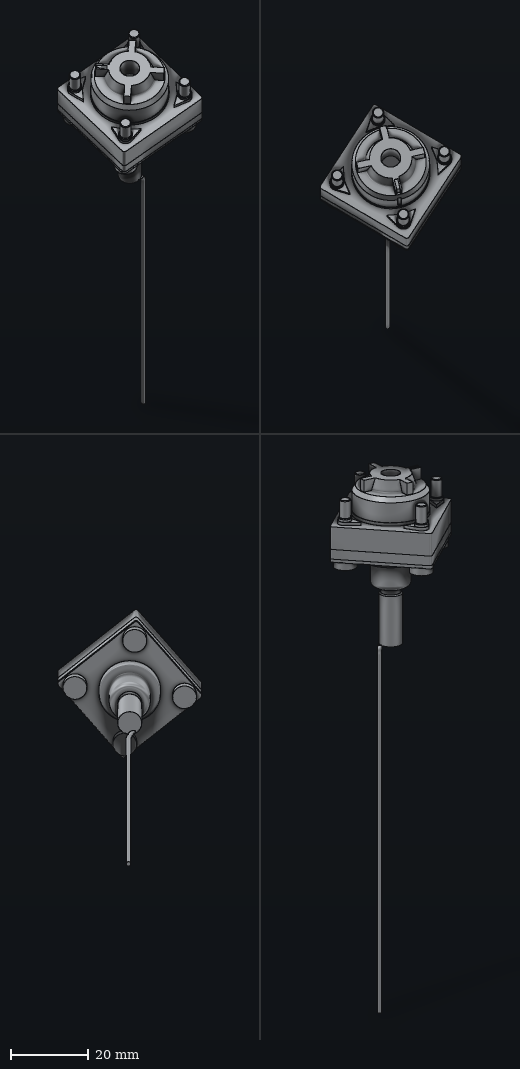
import cadquery as cq
import math

total_length = 148.5

side = 27.0
corner_radius = 0.7
housing_thickness = 6.2
plate_thickness = 2.7
cover_thickness = 0.9
housing_bottom = -housing_thickness
plate_bottom = housing_bottom - plate_thickness
cover_bottom = plate_bottom - cover_thickness

turret_radius = 10.1
turret_height = 7.7
turret_bevel_width = 0.9
turret_bevel_height = 1.3
base_ring_radius = 10.2
base_ring_height = 0.9

hub_top = 11.0
hub_top_radius = 5.5
hub_base_radius = 6.5
hub_base_fillet = 0.5
bore_radius = 2.5
bore_depth = 6.0
rib_width = 1.8
rib_reach = 8.9

groove_width = 0.9
groove_depth = 0.3
groove_start = 6.0
groove_bottom = 1.8
groove_angle = 225

screw_offset = 10.1
screw_radius = 1.5
screw_tip_height = 6.7
screw_tip_chamfer = 0.22
head_radius = 3.1
head_height = 2.2
pad_radius = 2.0
pad_height = 0.9
wing_tip_near = 5.6
wing_tip_far = 11.0
collar_radius = 1.8
collar_height = 1.8
collar_chamfer = 0.22

flange_radius = 8.0
flange_height = 2.7
flange_fillet = 0.5
gland_radius = 5.3
gland_root_fillet = 0.5
gland_end_fillet = 1.3
gland_height = 7.5
neck_top_radius = 3.1
neck_bottom_radius = 2.7
neck_height = 1.8
flange_bottom = cover_bottom - flange_height
gland_bottom = flange_bottom - gland_height
neck_bottom = gland_bottom - neck_height

sleeve_gap = 0.3
sleeve_radius = 3.1
sleeve_length = 14.0
sleeve_top = neck_bottom - sleeve_gap
sleeve_bottom = sleeve_top - sleeve_length

cable_radius = 0.62
cable_offset = sleeve_radius - cable_radius
bend_radius = 3.0
bend_drop = 2.2
cable_bottom = hub_top - total_length
bend_bottom = sleeve_bottom - bend_drop

screw_places = [(sx * screw_offset, sy * screw_offset) for sx in (-1, 1) for sy in (-1, 1)]
quarter_turns = [0, 90, 180, 270]


def cylinder(radius, bottom, top):
    """Cylinder on the vertical axis between two heights."""
    return cq.Workplane("XY").workplane(offset=bottom).circle(radius).extrude(top - bottom)


def cut_screw_holes(body):
    """Cut the four holes that the screw shanks fill."""
    holes = (
        cq.Workplane("XY").workplane(offset=cover_bottom).pushPoints(screw_places)
        .circle(screw_radius).extrude(screw_tip_height - cover_bottom)
    )
    return body.cut(holes)


def square_slab(bottom, top):
    """Square slab with rounded upright corners."""
    return (
        cq.Workplane("XY").workplane(offset=bottom).rect(side, side).extrude(top - bottom)
        .edges("|Z").fillet(corner_radius)
    )


def make_turret():
    """Round turret with a steep bevel at the top and a low ring around its foot."""
    turret = (
        cylinder(turret_radius, 0, turret_height)
        .faces(">Z").chamfer(turret_bevel_height, turret_bevel_width)
    )
    return turret.union(cylinder(base_ring_radius, 0, base_ring_height))


def make_hub():
    """Cone with a small rounded foot, turned about the vertical axis."""
    foot_top = turret_height + hub_base_fillet
    return (
        cq.Workplane("XZ")
        .moveTo(0, turret_height)
        .lineTo(hub_base_radius + hub_base_fillet, turret_height)
        .radiusArc((hub_base_radius, foot_top), hub_base_fillet)
        .lineTo(hub_top_radius, hub_top)
        .lineTo(0, hub_top)
        .close()
        .revolve(360, (0, 0), (0, 1))
    )


def make_ribs():
    """Two crossed bars that stand out from the hub as four diagonal ribs."""
    bar = (
        cq.Workplane("XY").workplane(offset=turret_height)
        .rect(2 * rib_reach, rib_width).extrude(hub_top - turret_height)
    )
    axis_start, axis_end = (0, 0, 0), (0, 0, 1)
    return bar.rotate(axis_start, axis_end, 45).union(bar.rotate(axis_start, axis_end, 135))


def groove_segment(inner, outer, bottom, top):
    """Upright groove segment, one groove wide, between two radii along +X."""
    return (
        cq.Workplane("XY").workplane(offset=bottom)
        .center((inner + outer) / 2, 0).rect(outer - inner, groove_width).extrude(top - bottom)
    )


def make_groove_cutter():
    """Shallow groove along a rib's top, down its end and down the turret wall."""
    rib_top = groove_segment(groove_start, rib_reach, hub_top - groove_depth, hub_top)
    rib_end = groove_segment(rib_reach - groove_depth, rib_reach, turret_height, hub_top)
    wall = groove_segment(turret_radius - groove_depth, turret_radius, groove_bottom, turret_height)
    return rib_top.union(rib_end).union(wall).rotate((0, 0, 0), (0, 0, 1), groove_angle)


def wing(tip_x, tip_y):
    """Pad wing: a triangle from a tip to the two points where lines from it touch the pad circle."""
    to_tip = math.atan2(tip_y - screw_offset, tip_x - screw_offset)
    distance = math.hypot(tip_x - screw_offset, tip_y - screw_offset)
    swing = math.acos(pad_radius / distance)
    touch_points = [
        (screw_offset + pad_radius * math.cos(angle), screw_offset + pad_radius * math.sin(angle))
        for angle in (to_tip - swing, to_tip + swing)
    ]
    return cq.Workplane("XY").polyline([(tip_x, tip_y), *touch_points]).close().extrude(pad_height)


def make_screw_pad():
    """Raised pad with two wings and a chamfered collar, in the +X +Y corner."""
    pad = cq.Workplane("XY").center(screw_offset, screw_offset).circle(pad_radius).extrude(pad_height)
    collar = (
        cq.Workplane("XY").center(screw_offset, screw_offset).circle(collar_radius).extrude(collar_height)
        .faces(">Z").edges().chamfer(collar_chamfer)
    )
    wings = wing(wing_tip_near, wing_tip_far).union(wing(wing_tip_far, wing_tip_near))
    return pad.union(wings).union(collar)


def make_housing():
    """Square block with the turret, hub, ribs and screw pads on top."""
    body = square_slab(housing_bottom, 0)
    body = body.union(make_turret()).union(make_hub()).union(make_ribs())
    body = body.cut(cylinder(bore_radius, hub_top - bore_depth, hub_top))
    body = body.cut(make_groove_cutter())
    pad = make_screw_pad()
    for angle in quarter_turns:
        body = body.union(pad.rotate((0, 0, 0), (0, 0, 1), angle))
    return cut_screw_holes(body)


def make_plate():
    """Middle plate, clamped between the housing and the end cover."""
    return cut_screw_holes(square_slab(plate_bottom, housing_bottom))


def make_gland():
    """Flange, gland barrel and tapered neck, turned about the vertical axis."""
    return (
        cq.Workplane("XZ")
        .moveTo(0, cover_bottom)
        .lineTo(flange_radius, cover_bottom)
        .lineTo(flange_radius, flange_bottom + flange_fillet)
        .radiusArc((flange_radius - flange_fillet, flange_bottom), flange_fillet)
        .lineTo(gland_radius + gland_root_fillet, flange_bottom)
        .radiusArc((gland_radius, flange_bottom - gland_root_fillet), -gland_root_fillet)
        .lineTo(gland_radius, gland_bottom + gland_end_fillet)
        .radiusArc((gland_radius - gland_end_fillet, gland_bottom), gland_end_fillet)
        .lineTo(neck_top_radius, gland_bottom)
        .lineTo(neck_bottom_radius, neck_bottom)
        .lineTo(0, neck_bottom)
        .close()
        .revolve(360, (0, 0), (0, 1))
    )


def make_end_cover():
    """Thin square cover with the gland on its lower face."""
    return cut_screw_holes(square_slab(cover_bottom, plate_bottom)).union(make_gland())


def make_screw(place):
    """Corner screw: round head under the end cover and a shank with a chamfered tip."""
    head = (
        cq.Workplane("XY").workplane(offset=cover_bottom - head_height)
        .center(*place).circle(head_radius).extrude(head_height)
    )
    shank = (
        cq.Workplane("XY").workplane(offset=cover_bottom)
        .center(*place).circle(screw_radius).extrude(screw_tip_height - cover_bottom)
        .faces(">Z").edges().chamfer(screw_tip_chamfer)
    )
    return head.union(shank)


def make_sleeve():
    """Plain round sleeve."""
    return cylinder(sleeve_radius, sleeve_bottom, sleeve_top)


def make_cable():
    """Straight cable whose upper end bends towards -Y and stops at the sleeve's lower face."""
    start = cq.Workplane("XY").workplane(offset=bend_bottom).center(cable_offset, cable_offset)
    straight = start.circle(cable_radius).extrude(cable_bottom - bend_bottom)
    bend = start.circle(cable_radius).revolve(90, (0, -bend_radius, 0), (1, -bend_radius, 0))
    return straight.union(bend.cut(cylinder(2 * sleeve_radius, sleeve_bottom, sleeve_top)))


housing = make_housing()
plate = make_plate()
end_cover = make_end_cover()
sleeve = make_sleeve()
cable = make_cable()
screws = [make_screw(place) for place in screw_places]

result = cq.Compound.makeCompound(
    [
        housing.val(),
        plate.val(),
        end_cover.val(),
        sleeve.val(),
        cable.val(),
        *[screw.val() for screw in screws],
    ]
)